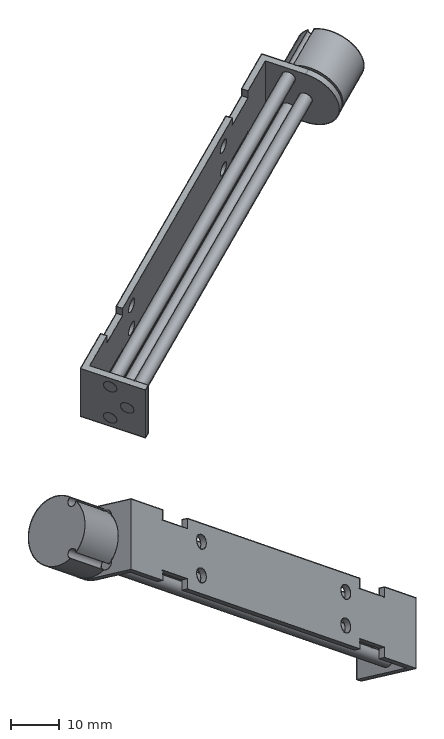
import cadquery as cq
import math

bracket_length = 92.9
bracket_height = 15.1
sheet = 1.5
overall_width = 18.0
front_plate_width = 14.6
half_height = bracket_height / 2
axis_x = overall_width - half_height

notch_setback = 10.3
notch_length = 8.0
notch_depth = 2.2
screw_hole_diameter = 3.1
screw_hole_setback = 22.9
screw_hole_spacing = 7.2

rod_diameter = 3.0
guide_rod_x = 6.7
guide_rod_spacing = 9.8

motor_diameter = 15.0
motor_length = 10.8
motor_end_y = 104.3
groove_diameter = 2.1
groove_inset = 0.6
groove_angle = 54.0

guide_rod_centres = [(guide_rod_x, side * guide_rod_spacing / 2) for side in (-1, 1)]
shaft_centre = (axis_x, 0)


def cylinder_along_y(centre, diameter, start_y, end_y):
    """Cylinder along Y whose axis passes through centre = (x, z)."""
    x, z = centre
    axis_start = cq.Vector(x, start_y, z)
    return cq.Workplane(cq.Solid.makeCylinder(diameter / 2, end_y - start_y, axis_start, cq.Vector(0, 1, 0)))


def block(x_size, y_size, z_size, start_y):
    """Block from X = 0 and start_y, centred on Z = 0."""
    return cq.Workplane().box(x_size, y_size, z_size, centered=(False, False, True)).translate((0, start_y, 0))


def make_bracket():
    back_plate_y = bracket_length - sheet
    web = block(sheet, bracket_length, bracket_height, 0)
    front_plate = block(front_plate_width, sheet, bracket_height, 0)
    back_plate = block(axis_x, sheet, bracket_height, back_plate_y)
    round_end = cylinder_along_y(shaft_centre, bracket_height, back_plate_y, bracket_length)
    bracket = web.union(front_plate).union(back_plate).union(round_end)

    notch_centre = notch_setback + notch_length / 2
    for y in (notch_centre, bracket_length - notch_centre):
        for side in (-1, 1):
            z = side * (half_height - notch_depth / 2)
            notch = cq.Workplane().box(2 * sheet, notch_length, notch_depth).translate((sheet / 2, y, z))
            bracket = bracket.cut(notch)

    for y in (screw_hole_setback, bracket_length - screw_hole_setback):
        for side in (-1, 1):
            hole_start = cq.Vector(0, y, side * screw_hole_spacing / 2)
            hole = cq.Solid.makeCylinder(screw_hole_diameter / 2, sheet, hole_start, cq.Vector(1, 0, 0))
            bracket = bracket.cut(cq.Workplane(hole))

    for centre in guide_rod_centres + [shaft_centre]:
        bracket = bracket.cut(cylinder_along_y(centre, rod_diameter, 0, bracket_length))
    return bracket


def make_rod(centre):
    """Rod flush with the outer faces of both end plates."""
    return cylinder_along_y(centre, rod_diameter, 0, bracket_length)


def make_motor():
    motor_start_y = motor_end_y - motor_length
    motor = cylinder_along_y(shaft_centre, motor_diameter, motor_start_y, motor_end_y)
    groove_radius = motor_diameter / 2 - groove_inset
    angle = math.radians(groove_angle)
    for side in (-1, 1):
        groove_centre = (axis_x - groove_radius * math.cos(angle), side * groove_radius * math.sin(angle))
        motor = motor.cut(cylinder_along_y(groove_centre, groove_diameter, motor_start_y, motor_end_y))
    return motor


bracket = make_bracket()
guide_rods = [make_rod(centre) for centre in guide_rod_centres]
shaft = make_rod(shaft_centre)
motor = make_motor()

result = cq.Compound.makeCompound(
    [bracket.val(), *[rod.val() for rod in guide_rods], shaft.val(), motor.val()]
)